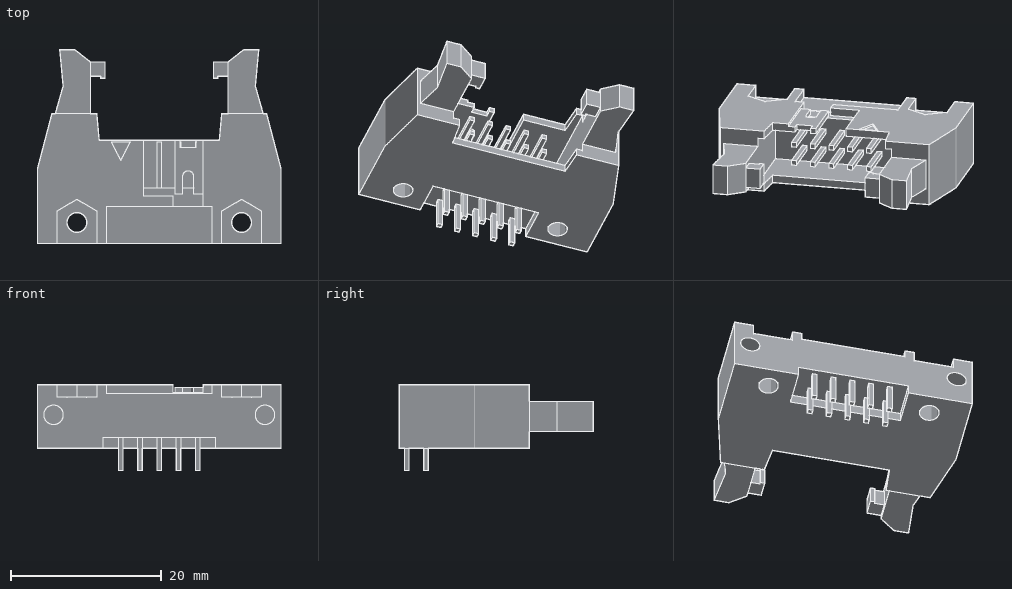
import cadquery as cq


body_width = 32.3
body_height = 8.45
half_width = body_width / 2
mid_height = body_height / 2
wing_end_y = 17.25
wing_taper_y = 9.98
wing_outer_x = 14.25
wing_inner_x = 8.27
mouth_y = 13.73
mouth_half_width = 7.95

wall = 1.05
socket_back_y = 7.35
socket_half_width = 9.1

overall_length = 25.75
lever_height = 4.05
lever_waist = (12.75, 20.9)
lever_tip_outer_x = 13.2
lever_tip_inner_x = 11.2
lever_root_x = 13.8
hook_front_y = 24.1
hook_rear_y = 22.2
hook_end_x = 7.17
hook_height = 2.7
lip_width = 0.6
lip_depth = 0.25

hole_diameter = 2.6
mount_x = 10.92
mount_y = 2.8
nut_width = 5.3
nut_side_y = 4.33
nut_apex_y = 5.88
nut_depth = 1.65
side_hole_x = 14.02
side_hole_z = 4.45
side_hole_depth = 3.23

label_half_width = 7.0
label_length = 4.95
label_depth = 1.15
pin_recess_half_width = 7.45
pin_recess_height = 1.42
pin_recess_length = label_length

pin_pitch = 2.55
pin_columns = 5
pin_width = 0.65
pin_drop = 2.95
pin_tip_y = 13.5
pin_rear_y = 1.0

keyway_left_x = -2.07
keyway_right_x = 5.8
keyway_back_y = 6.33
passage_left_x = 1.85
tongue_left_x = 2.07
tongue_back_y = 6.55
tongue_thickness = 0.7
notch_x = 1.5 * pin_pitch
notch_width = 2.13
notch_depth = 0.97
slot_width = 1.45
slot_end_y = 9.65

mark_half_width = 1.25
mark_length = 2.45
mark_depth = 0.25


def block(x_min, x_max, y_min, y_max, z_min, z_max):
    """Box given by its limits on each axis."""
    size = (x_max - x_min, y_max - y_min, z_max - z_min)
    return cq.Workplane("XY").box(*size, centered=False).translate((x_min, y_min, z_min))


def prism(points, z_min, z_max):
    """Closed XY outline extruded between two heights."""
    return cq.Workplane("XY").workplane(offset=z_min).polyline(points).close().extrude(z_max - z_min)


def both_sides(right_side):
    """A right-hand feature together with its mirror image about x = 0."""
    return right_side.union(right_side.mirror("YZ"))


def housing():
    right_half = [
        (half_width, 0),
        (half_width, wing_taper_y),
        (wing_outer_x, wing_end_y),
        (wing_inner_x, wing_end_y),
        (mouth_half_width, mouth_y),
    ]
    left_half = [(-x, y) for x, y in reversed(right_half)]
    shell = prism(right_half + left_half, 0, body_height)
    socket = block(
        -socket_half_width, socket_half_width, socket_back_y, wing_end_y, wall, body_height - wall
    )
    return shell.cut(socket)


def levers():
    arm_outline = [
        (socket_half_width, wing_end_y),
        (lever_root_x, wing_end_y),
        lever_waist,
        (lever_tip_outer_x, overall_length),
        (lever_tip_inner_x, overall_length),
        (socket_half_width, hook_front_y),
    ]
    hook_outline = [
        (socket_half_width, hook_front_y),
        (hook_end_x, hook_front_y),
        (hook_end_x, hook_rear_y - lip_depth),
        (hook_end_x + lip_width, hook_rear_y - lip_depth),
        (hook_end_x + lip_width, hook_rear_y),
        (socket_half_width, hook_rear_y),
    ]
    arm = prism(arm_outline, mid_height - lever_height / 2, mid_height + lever_height / 2)
    hook = prism(hook_outline, mid_height - hook_height / 2, mid_height + hook_height / 2)
    return both_sides(arm.union(hook))


def mounting_cuts():
    """Through holes with nut pockets open to the rear face."""
    nut_outline = [
        (mount_x - nut_width / 2, 0),
        (mount_x + nut_width / 2, 0),
        (mount_x + nut_width / 2, nut_side_y),
        (mount_x, nut_apex_y),
        (mount_x - nut_width / 2, nut_side_y),
    ]
    pocket = prism(nut_outline, body_height - nut_depth, body_height)
    hole = cq.Workplane("XY").center(mount_x, mount_y).circle(hole_diameter / 2).extrude(body_height)
    return both_sides(pocket.union(hole))


def side_holes():
    """Blind holes in the rear face, outboard of the mounting holes."""
    hole = (
        cq.Workplane("XZ")
        .center(side_hole_x, side_hole_z)
        .circle(hole_diameter / 2)
        .extrude(-side_hole_depth)
    )
    return both_sides(hole)


def rear_recesses():
    label = block(
        -label_half_width, label_half_width, 0, label_length, body_height - label_depth, body_height
    )
    pin_recess = block(
        -pin_recess_half_width, pin_recess_half_width, 0, pin_recess_length, 0, pin_recess_height
    )
    return label.union(pin_recess)


def keyway():
    floor_z = body_height - wall
    opening = block(keyway_left_x, keyway_right_x, keyway_back_y, mouth_y, floor_z, body_height)
    passage = block(passage_left_x, keyway_right_x, label_length, keyway_back_y, floor_z, body_height)
    return opening.union(passage)


def tongue():
    """Thin plate with a notched tip and a round-ended slot open at its root."""
    bottom_z = body_height - wall
    top_z = bottom_z + tongue_thickness
    plate = block(tongue_left_x, keyway_right_x, tongue_back_y, mouth_y, bottom_z, top_z)
    notch_left_x = notch_x - notch_width / 2
    notch_right_x = notch_x + notch_width / 2
    notch = block(notch_left_x, notch_right_x, mouth_y - notch_depth, mouth_y, bottom_z, top_z)
    slot_radius = slot_width / 2
    slot = (
        cq.Workplane("XY")
        .workplane(offset=bottom_z)
        .moveTo(notch_x - slot_radius, tongue_back_y)
        .lineTo(notch_x - slot_radius, slot_end_y - slot_radius)
        .threePointArc((notch_x, slot_end_y), (notch_x + slot_radius, slot_end_y - slot_radius))
        .lineTo(notch_x + slot_radius, tongue_back_y)
        .close()
        .extrude(tongue_thickness)
    )
    return plate.cut(notch).cut(slot)


def bent_pin(x, leg_y, contact_z):
    """Right-angle pin: a leg pointing down and a contact pointing to the mating side."""
    half = pin_width / 2
    leg = block(x - half, x + half, leg_y - half, leg_y + half, -pin_drop, contact_z + half)
    contact = block(x - half, x + half, leg_y - half, pin_tip_y, contact_z - half, contact_z + half)
    return leg.union(contact)


def pin_one_mark():
    center_x = -pin_pitch * (pin_columns - 1) / 2
    outline = [
        (center_x - mark_half_width, pin_tip_y),
        (center_x + mark_half_width, pin_tip_y),
        (center_x, pin_tip_y - mark_length),
    ]
    return prism(outline, body_height - mark_depth, body_height)


result = housing().union(levers())
for removed in (mounting_cuts(), side_holes(), rear_recesses(), keyway(), pin_one_mark()):
    result = result.cut(removed)
result = result.union(tongue())

for column in range(pin_columns):
    pin_x = (column - (pin_columns - 1) / 2) * pin_pitch
    result = result.union(bent_pin(pin_x, pin_rear_y, mid_height + pin_pitch / 2))
    result = result.union(bent_pin(pin_x, pin_rear_y + pin_pitch, mid_height - pin_pitch / 2))